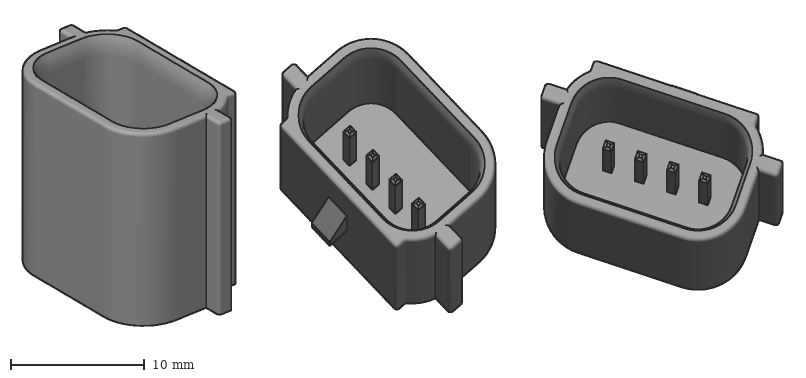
import cadquery as cq
import math

height = 16.5
body_width = 15.78
body_depth = 10.92
corner_radius = 3.81
edge_round = 0.28

ear_span = 18.79
ear_thickness = 1.35
ear_y = 1.97

plate_width = 13.05
plate_inner_depth = 1.88

lip_width = 0.8
flare_inset = 0.38
flare_depth = 1.5
floor_thickness = 3.38
draft_angle = 0.3

pin_count = 4
pin_pitch = 2.54
pin_size = 0.7
pin_tip_chamfer = 0.23
pin_length = 7.52
pin_y = 0.75

latch_width = 2.01
latch_reach = 1.73
latch_top_z = 11.31
latch_shoulder_z = 8.3
latch_tip_z = 7.3
latch_root_z = 7.46

back_y = body_depth / 2
neck_inset = lip_width + flare_inset
neck_z = height - flare_depth


def rounded_block(inset, block_height):
    """Rounded rectangle prism whose walls lie `inset` inside the outer body walls."""
    return (
        cq.Workplane("XY")
        .rect(body_width - 2 * inset, body_depth - 2 * inset)
        .extrude(block_height)
        .edges("|Z")
        .fillet(corner_radius - inset)
    )


def make_shell():
    """Outer body with ears and back plate, rounded along the top rim."""
    ears = (
        cq.Workplane("XY")
        .center(0, ear_y)
        .rect(ear_span, ear_thickness)
        .extrude(height)
        .edges("|Z")
        .fillet(edge_round)
    )
    plate = (
        cq.Workplane("XY")
        .center(0, back_y - plate_inner_depth / 2)
        .rect(plate_width, plate_inner_depth)
        .extrude(height)
        .edges("|Z and >Y")
        .fillet(edge_round)
    )
    joint_x = plate_width / 2
    joint_run = joint_x - (body_width / 2 - corner_radius)
    joint_y = back_y - corner_radius + math.sqrt(corner_radius**2 - joint_run**2)
    backed_body = rounded_block(0, height).union(plate)
    for x in (-joint_x, joint_x):
        joint = cq.NearestToPointSelector((x, joint_y, height / 2))
        backed_body = backed_body.edges(joint).fillet(edge_round)
    return backed_body.union(ears).faces(">Z").edges().fillet(edge_round)


def make_flare():
    """Ring swept around the pocket that widens the mouth along an arc, upright at the neck."""
    neck_y = back_y - neck_inset
    ring_width = (corner_radius - neck_inset) / 2
    arc_radius = (flare_depth**2 + flare_inset**2) / (2 * flare_inset)
    half_sweep = math.asin(flare_depth / arc_radius) / 2
    arc_middle = (
        -neck_y - arc_radius * (1 - math.cos(half_sweep)),
        neck_z + arc_radius * math.sin(half_sweep),
    )
    path = rounded_block(neck_inset, neck_z).faces(">Z").wires()
    return (
        cq.Workplane("YZ")
        .moveTo(-neck_y, neck_z)
        .threePointArc(arc_middle, (-neck_y - flare_inset, height))
        .lineTo(-neck_y + ring_width, height)
        .lineTo(-neck_y + ring_width, neck_z)
        .close()
        .sweep(path)
    )


def make_pocket():
    """Pocket narrowing from the neck of the flare to the floor, open to the top."""
    neck = rounded_block(neck_inset, neck_z).faces(">Z").wires().toPending()
    tapered = neck.workplane().extrude(-(neck_z - floor_thickness), combine=False, taper=draft_angle)
    opening = rounded_block(neck_inset, flare_depth).translate((0, 0, neck_z))
    return tapered.union(opening)


def make_pins():
    """Row of square pins with chamfered tips, standing on the floor."""
    row_centers = [((i - (pin_count - 1) / 2) * pin_pitch, pin_y) for i in range(pin_count)]
    return (
        cq.Workplane("XY")
        .workplane(offset=floor_thickness)
        .pushPoints(row_centers)
        .rect(pin_size, pin_size)
        .extrude(pin_length)
        .faces(">Z")
        .edges()
        .chamfer(pin_tip_chamfer)
    )


def make_latch():
    """Wedge with a long ramp above and a slightly undercut catch below."""
    return (
        cq.Workplane("YZ")
        .polyline([
            (back_y, latch_top_z),
            (back_y + latch_reach, latch_shoulder_z),
            (back_y + latch_reach, latch_tip_z),
            (back_y, latch_root_z),
        ])
        .close()
        .extrude(latch_width / 2, both=True)
    )


result = (
    make_shell()
    .cut(make_pocket())
    .cut(make_flare())
    .union(make_pins())
    .union(make_latch())
)